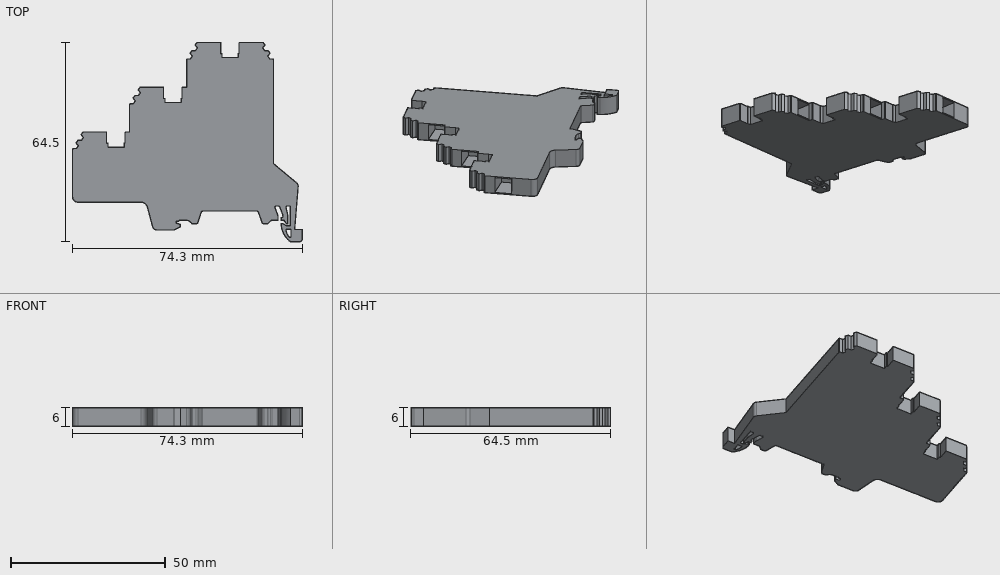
import cadquery as cq
import math

LENGTH = 74.3
HEIGHT = 64.5
THICKNESS = 6.0

TIER_COUNT = 3
TIER_RUN = 18.4
TIER_RISE = 14.5
BODY_RIGHT = 65.0
BODY_BOTTOM = 12.8
BODY_CORNER_RADIUS = 1.8

TOOTH_COUNT = 2
TOOTH_STEP_IN = 1.6
TOOTH_STEP_DOWN = 2.7
TOOTH_SHAPE = [(3.4, 0), (2.75, 0.9), (3.5, 1.8), (2.9, 2.7)]
TEETH_END_DROP = 0.4

SLOT_LEFT = 11.1
SLOT_RIGHT = 16.95
SLOT_DEPTH = 4.9
SLOT_STEP_DEPTH = 3.65
SLOT_LEFT_STEP = 0.45
SLOT_RIGHT_STEP = 0.2
SLOT_CHAMFER = 0.2

FUNNEL_MOUTH_Y = 5.6
FUNNEL_MOUTH_Z = 5.2
FUNNEL_FLOOR_Y = 3.4
FUNNEL_FLOOR_Z = 3.0
FUNNEL_DEPTH = 5.95
FUNNEL_DROP = 11.75

RAIL_SEAT_Y = 9.9
LUG_BOTTOM_Y = 5.8
FOOT_BOTTOM_Y = 3.8
FOOT_GAP_TOP_Y = 6.9
CLIP_SLOT_TOP_Y = 11.5
CLIP_FOOT_TOP_Y = 4.0
CLIP_CORNER_RADIUS = 0.9

HOOK_ARC_START = (70.4, 0)
HOOK_ARC_MIDDLE = (68.6, 2.0)
HOOK_ARC_END = (67.5, 5.05)


def tier_left(tier):
    return tier * TIER_RUN


def tier_top(tier):
    return HEIGHT - (TIER_COUNT - 1 - tier) * TIER_RISE


def teeth(corner_x, top_y, inward):
    """Tooth corners from the tier top down to its side; inward is +1 or -1 along X."""
    points = []
    for tooth in range(TOOTH_COUNT):
        for offset_in, offset_down in TOOTH_SHAPE:
            x = corner_x + inward * (offset_in - tooth * TOOTH_STEP_IN)
            points.append((x, top_y - offset_down - tooth * TOOTH_STEP_DOWN))
    end_in = TOOTH_SHAPE[0][0] - TOOTH_COUNT * TOOTH_STEP_IN
    end_down = TOOTH_COUNT * TOOTH_STEP_DOWN
    points.append((corner_x + inward * end_in, top_y - end_down))
    points.append((corner_x, top_y - end_down - TEETH_END_DROP))
    return points


def screw_slot(left_x, top_y):
    left = left_x + SLOT_LEFT
    right = left_x + SLOT_RIGHT
    step_y = top_y - SLOT_STEP_DEPTH
    floor_y = top_y - SLOT_DEPTH
    return [
        (left, top_y),
        (left, step_y),
        (left + SLOT_LEFT_STEP, step_y),
        (left + SLOT_LEFT_STEP, floor_y),
        (right - SLOT_RIGHT_STEP, floor_y),
        (right - SLOT_RIGHT_STEP, step_y),
        (right, step_y),
        (right, top_y - SLOT_CHAMFER),
        (right + SLOT_CHAMFER, top_y),
    ]


def tiers():
    """Stepped edge, clockwise from the lowest tier to the right side of the top tier."""
    points = []
    for tier in range(TIER_COUNT):
        left_x = tier_left(tier)
        top_y = tier_top(tier)
        points += reversed(teeth(left_x, top_y, 1))
        points += screw_slot(left_x, top_y)
        if tier < TIER_COUNT - 1:
            points.append((tier_left(tier + 1), top_y))
    points += teeth(BODY_RIGHT, HEIGHT, -1)
    return points


def clip_back():
    """Sloping shoulder, back of the clip and its release foot."""
    return [
        (BODY_RIGHT, 25.25),
        (73.0, 18.6, 1.5),
        (71.85, CLIP_FOOT_TOP_Y),
        (LENGTH, CLIP_FOOT_TOP_Y),
        (LENGTH, 0, CLIP_CORNER_RADIUS),
    ]


def clip_fingers():
    """Hook tip, slot behind the spring finger, the finger, and the slot in front of it."""
    return [
        (67.5, 5.95),
        (67.9, 5.95),
        (69.25, 5.2),
        (70.35, 5.2),
        (70.35, CLIP_SLOT_TOP_Y),
        (68.95, CLIP_SLOT_TOP_Y, 0.3),
        (69.6, 8.6, 1.1),
        (69.6, 5.8),
        (69.1, 5.8),
        (68.35, 6.9),
        (67.5, 6.9),
        (67.5, 7.8),
        (68.0, 7.95),
        (67.9, 8.8, 0.5),
        (66.9, CLIP_SLOT_TOP_Y, 0.5),
        (65.3, CLIP_SLOT_TOP_Y, 0.3),
        (66.5, 8.3, 1.85),
        (66.5, FOOT_GAP_TOP_Y),
    ]


def rail_underside():
    """Two lugs either side of the rail seat, then the fixed foot and the body bottom."""
    return [
        (64.2, FOOT_GAP_TOP_Y, 0.5),
        (63.1, LUG_BOTTOM_Y, 0.3),
        (61.4, LUG_BOTTOM_Y, 0.75),
        (59.95, RAIL_SEAT_Y, 0.4),
        (41.75, RAIL_SEAT_Y, 0.4),
        (40.4, LUG_BOTTOM_Y, 0.75),
        (38.7, LUG_BOTTOM_Y, 0.3),
        (37.7, FOOT_GAP_TOP_Y, 1.85),
        (34.55, FOOT_GAP_TOP_Y),
        (34.3, 6.6),
        (33.6, 6.6),
        (33.6, 6.1),
        (34.85, 5.65),
        (34.85, 4.8),
        (32.85, FOOT_BOTTOM_Y, 0.5),
        (26.15, FOOT_BOTTOM_Y, 1.5),
        (23.8, BODY_BOTTOM, 2.15),
        (0, BODY_BOTTOM, BODY_CORNER_RADIUS),
    ]


def toward(start, end, distance):
    span = math.dist(start, end)
    return tuple(a + (b - a) * distance / span for a, b in zip(start, end))


def draw_corners(sketch, corners, last):
    """Draw lines through the corners, rounding those with a radius; last is the next point."""
    ends = [corner[:2] for corner in corners] + [last]
    for index, corner in enumerate(corners):
        point = ends[index]
        if len(corner) == 2:
            sketch = sketch.lineTo(*point)
            continue
        radius = corner[2]
        before = ends[index - 1]
        after = ends[index + 1]
        heading_in = math.atan2(before[1] - point[1], before[0] - point[0])
        heading_out = math.atan2(after[1] - point[1], after[0] - point[0])
        half_angle = math.acos(math.cos(heading_in - heading_out)) / 2
        tangent_length = radius / math.tan(half_angle)
        arc_start = toward(point, before, tangent_length)
        arc_end = toward(point, after, tangent_length)
        chord_middle = tuple((a + b) / 2 for a, b in zip(arc_start, arc_end))
        arc_middle = toward(point, chord_middle, radius / math.sin(half_angle) - radius)
        sketch = sketch.lineTo(*arc_start).threePointArc(arc_middle, arc_end)
    return sketch


def make_body():
    upper = tiers() + clip_back()
    lower = clip_fingers() + rail_underside()
    outline = cq.Workplane("XY").moveTo(*upper[0])
    outline = draw_corners(outline, upper[1:], HOOK_ARC_START)
    outline = outline.lineTo(*HOOK_ARC_START).threePointArc(HOOK_ARC_MIDDLE, HOOK_ARC_END)
    outline = draw_corners(outline, lower, upper[0])
    return outline.close().extrude(THICKNESS)


def make_hook_window():
    """Opening through the hook, with a curved side following the hook."""
    right = 70.6
    bottom = 1.5
    return (
        cq.Workplane("XY")
        .moveTo(right, bottom)
        .lineTo(right, CLIP_FOOT_TOP_Y)
        .lineTo(69.0, CLIP_FOOT_TOP_Y)
        .threePointArc((69.3, 2.75), (70.1, bottom))
        .close()
        .extrude(THICKNESS)
    )


def make_funnel(tier):
    axis_y = tier_top(tier) - FUNNEL_DROP
    return (
        cq.Workplane("YZ", origin=(tier_left(tier), axis_y, THICKNESS / 2))
        .rect(FUNNEL_MOUTH_Y, FUNNEL_MOUTH_Z)
        .workplane(offset=FUNNEL_DEPTH)
        .rect(FUNNEL_FLOOR_Y, FUNNEL_FLOOR_Z)
        .loft(ruled=True)
    )


result = make_body().cut(make_hook_window())
for tier in range(TIER_COUNT):
    result = result.cut(make_funnel(tier))